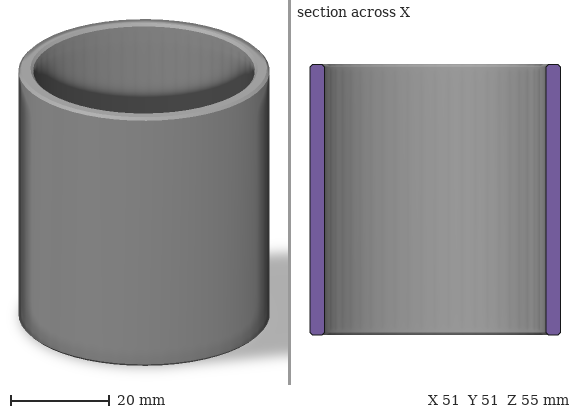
import cadquery as cq

length = 55.0
outer_diameter = 51.0
bore_diameter = 45.0
rim_chamfer = 0.55

sleeve = (
    cq.Workplane("XY")
    .circle(outer_diameter / 2)
    .circle(bore_diameter / 2)
    .extrude(length)
)

result = sleeve.faces("<Z or >Z").edges().chamfer(rim_chamfer)